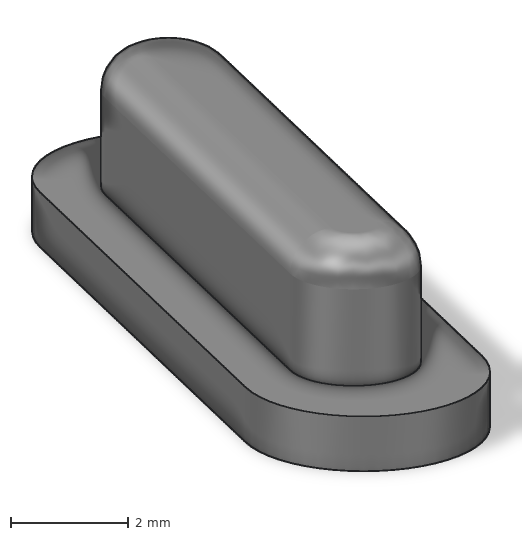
import cadquery as cq

base_length = 14.3
base_width = 4.3
base_height = 1.0

total_height = 3.5
button_length = 11.3
button_width = 2.3
button_height = total_height - base_height
top_fillet = 0.75


def rounded_bar(length, width, height, bottom):
    """Upright bar with semicircular ends, standing on the given level."""
    return cq.Workplane("XY").workplane(offset=bottom).slot2D(length, width).extrude(height)


base = rounded_bar(base_length, base_width, base_height, 0)
button = rounded_bar(button_length, button_width, button_height, base_height)
button = button.faces(">Z").edges().fillet(top_fillet)

result = base.union(button)